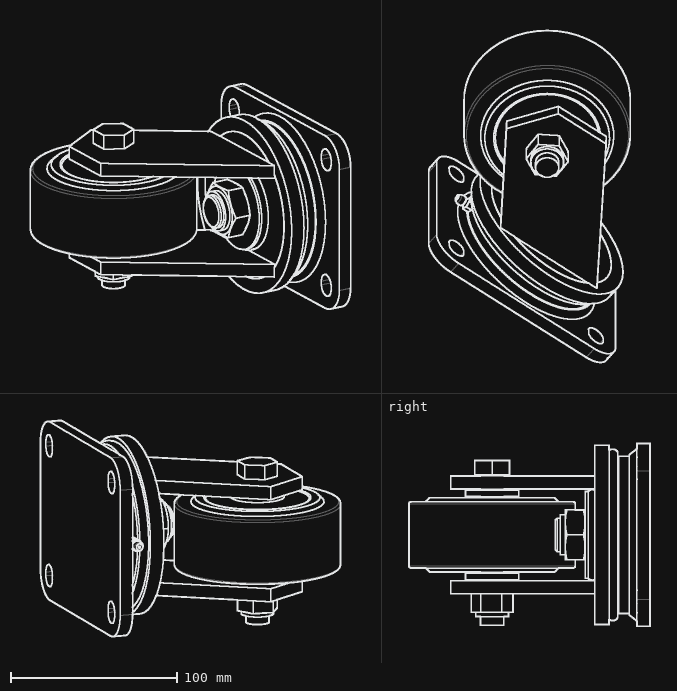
import cadquery as cq
import math


PLATE_LENGTH = 135.0
PLATE_WIDTH = 110.0
PLATE_THICKNESS = 8.0
PLATE_CORNER_RADIUS = 16.4
SLOT_SPACING_X = 105.0
SLOT_SPACING_Z = 80.0
SLOT_WIDTH = 11.0
SLOT_LENGTH = 13.4

HEAD_TOP_RADIUS = 51.8
HEAD_CONE_END_RADIUS = 48.2
NECK_RADIUS = 47.4
CONE_END_DROP = 12.5
NECK_END_DROP = 19.0

KINGPIN_RADIUS = 10.0
KINGPIN_CHAMFER = 1.0
KINGPIN_END_DROP = 57.0
KINGPIN_NUT_FLATS = 30.0
KINGPIN_NUT_HEIGHT = 12.0
KINGPIN_NUT_CHAMFER_RADIUS = 14.7
KINGPIN_NUT_CHAMFER_HEIGHT = 1.0
KINGPIN_COLLAR_RADIUS = 12.0
KINGPIN_COLLAR_HEIGHT = 3.0

NIPPLE_DROP = 16.0
NIPPLE_HEX_FLATS = 6.7
NIPPLE_HEX_END = 51.3
NIPPLE_NECK_BASE_RADIUS = 3.2
NIPPLE_NECK_RADIUS = 2.0
NIPPLE_BALL_RADIUS = 3.2
NIPPLE_BALL_EDGE_RADIUS = 2.7
NIPPLE_BALL_START = 53.1
NIPPLE_BALL_END = 56.8
NIPPLE_TIP_RADIUS = 2.0
NIPPLE_TIP_END = 58.1
NIPPLE_PORT_RADIUS = 0.5
NIPPLE_PORT_DEPTH = 1.0

SEAL_DROP = 19.5
SEAL_TOP_RADIUS = 49.7
SEAL_MIDDLE_RADIUS = 51.6
SEAL_BOTTOM_RADIUS = 51.0
CROWN_DROP = 24.6
CROWN_RADIUS = 54.0
CROWN_BOTTOM_DROP = 33.3
CROWN_RECESS_RADIUS = 45.0
CROWN_RECESS_DEPTH = 0.2
WASHER_TOP_RADIUS = 27.0
WASHER_BULGE_RADIUS = 27.3
WASHER_BULGE_DROP = 34.8
WASHER_LIP_RADIUS = 26.1
WASHER_LIP_DROP = 37.4
WASHER_BOTTOM_DROP = 39.0

WHEEL_RADIUS = 50.0
TREAD_HALF_WIDTH = 20.0
TREAD_EDGE_RADIUS = 1.3
HUB_RADIUS = 40.0
HUB_HALF_WIDTH = 22.5
HUB_RECESS_RADIUS = 32.2
HUB_RECESS_SLOPE_WIDTH = 1.0
HUB_RECESS_DEPTH = 0.5

AXLE_X = -49.9
AXLE_DROP = 95.0

LEG_INNER_Z = 27.5
LEG_THICKNESS = 8.0
LEG_OUTER_Z = LEG_INNER_Z + LEG_THICKNESS
LEG_TOP_FRONT_X = 34.3
LEG_TOP_REAR_X = -38.2
LEG_BOTTOM_FRONT_X = -24.3
LEG_BOTTOM_REAR_X = -60.3
LEG_REAR_X = -78.7
LEG_REAR_DROP = 92.6
LEG_BOTTOM_DROP = 120.0

AXLE_RADIUS = 7.0
SPACER_RADIUS = 16.0
SPACER_CLEARANCE = 0.5
BOLT_HEAD_FLATS = 21.1
BOLT_HEAD_HEIGHT = 8.7
BOLT_HEAD_CLEARANCE = 0.5
AXLE_NUT_FLATS = 22.0
AXLE_NUT_HEIGHT = 11.0
AXLE_NUT_TURN = 87.5
AXLE_COLLAR_RADIUS = 9.9
AXLE_COLLAR_HEIGHT = 2.5
AXLE_END_Z = -54.5


def corner_diameter(flats):
    """Diameter across the corners of a hexagon of the given width across flats."""
    return flats / math.cos(math.pi / 6)


def below_plate(drop):
    """Plane parallel to the plate whose extrusions run towards -Y."""
    return cq.Workplane("XZ", origin=(0, -drop, 0))


def along_axle(z):
    """Plane across the axle, centred on it, whose extrusions run towards +Z."""
    return cq.Workplane("XY", origin=(AXLE_X, -AXLE_DROP, z))


def kingpin_nut():
    """Lock nut: a hexagon with chamfered corners, followed by a round collar."""
    corner_radius = corner_diameter(KINGPIN_NUT_FLATS) / 2
    chamfer_end_drop = WASHER_BOTTOM_DROP + KINGPIN_NUT_CHAMFER_HEIGHT
    nut_end_drop = WASHER_BOTTOM_DROP + KINGPIN_NUT_HEIGHT
    hexagon = (
        below_plate(WASHER_BOTTOM_DROP)
        .polygon(6, 2 * corner_radius)
        .extrude(KINGPIN_NUT_HEIGHT)
    )
    chamfer_envelope = (
        cq.Workplane("XY")
        .polyline([
            (0, -WASHER_BOTTOM_DROP),
            (KINGPIN_NUT_CHAMFER_RADIUS, -WASHER_BOTTOM_DROP),
            (corner_radius, -chamfer_end_drop),
            (corner_radius, -nut_end_drop + KINGPIN_NUT_CHAMFER_HEIGHT),
            (KINGPIN_NUT_CHAMFER_RADIUS, -nut_end_drop),
            (0, -nut_end_drop),
        ])
        .close()
        .revolve(360, (0, 0, 0), (0, 1, 0))
    )
    collar = below_plate(nut_end_drop).circle(KINGPIN_COLLAR_RADIUS).extrude(KINGPIN_COLLAR_HEIGHT)
    return hexagon.intersect(chamfer_envelope).union(collar)


def grease_nipple():
    """Hexagon seated in the neck, then a narrow waist and a ball-shaped tip with a grease port."""
    hex_start = NECK_RADIUS - NIPPLE_HEX_FLATS / 2
    hexagon = (
        cq.Workplane("YZ", origin=(-NIPPLE_HEX_END, -NIPPLE_DROP, 0))
        .transformed(rotate=(0, 0, 90))
        .polygon(6, corner_diameter(NIPPLE_HEX_FLATS))
        .extrude(NIPPLE_HEX_END - hex_start)
    )
    port_end = NIPPLE_TIP_END - NIPPLE_PORT_DEPTH
    ball_middle = (NIPPLE_BALL_START + NIPPLE_BALL_END) / 2
    tip = (
        cq.Workplane("XY", origin=(0, -NIPPLE_DROP, 0))
        .moveTo(-NIPPLE_HEX_END, 0)
        .lineTo(-NIPPLE_HEX_END, NIPPLE_NECK_BASE_RADIUS)
        .lineTo(-NIPPLE_BALL_START, NIPPLE_NECK_RADIUS)
        .lineTo(-NIPPLE_BALL_START, NIPPLE_BALL_EDGE_RADIUS)
        .threePointArc((-ball_middle, NIPPLE_BALL_RADIUS), (-NIPPLE_BALL_END, NIPPLE_BALL_EDGE_RADIUS))
        .lineTo(-NIPPLE_TIP_END, NIPPLE_TIP_RADIUS)
        .lineTo(-NIPPLE_TIP_END, NIPPLE_PORT_RADIUS)
        .lineTo(-port_end, NIPPLE_PORT_RADIUS)
        .lineTo(-port_end, 0)
        .close()
        .revolve(360, (0, 0, 0), (1, 0, 0))
    )
    return hexagon.union(tip)


def make_mount():
    """Slotted plate with the swivel head, grease nipple, kingpin and kingpin nut."""
    plate = (
        below_plate(0)
        .rect(PLATE_LENGTH, PLATE_WIDTH)
        .extrude(PLATE_THICKNESS)
        .edges("|Y")
        .fillet(PLATE_CORNER_RADIUS)
    )
    slots = (
        below_plate(0)
        .rect(SLOT_SPACING_X, SLOT_SPACING_Z, forConstruction=True)
        .vertices()
        .slot2D(SLOT_LENGTH, SLOT_WIDTH, 90)
        .extrude(PLATE_THICKNESS)
    )
    head = (
        cq.Workplane("XY")
        .polyline([
            (0, -PLATE_THICKNESS),
            (HEAD_TOP_RADIUS, -PLATE_THICKNESS),
            (HEAD_CONE_END_RADIUS, -CONE_END_DROP),
            (NECK_RADIUS, -CONE_END_DROP),
            (NECK_RADIUS, -NECK_END_DROP),
            (0, -NECK_END_DROP),
        ])
        .close()
        .revolve(360, (0, 0, 0), (0, 1, 0))
    )
    kingpin = (
        below_plate(NECK_END_DROP)
        .circle(KINGPIN_RADIUS)
        .extrude(KINGPIN_END_DROP - NECK_END_DROP)
        .faces("<Y")
        .chamfer(KINGPIN_CHAMFER)
    )
    return plate.cut(slots).union(head).union(grease_nipple()).union(kingpin).union(kingpin_nut())


def fork_crown():
    """Seal ring, crown disk and thrust washer, turned as one around the kingpin bore."""
    seal_middle_drop = (SEAL_DROP + CROWN_DROP) / 2
    recess_drop = CROWN_BOTTOM_DROP - CROWN_RECESS_DEPTH
    return (
        cq.Workplane("XY")
        .moveTo(KINGPIN_RADIUS, -SEAL_DROP)
        .lineTo(SEAL_TOP_RADIUS, -SEAL_DROP)
        .threePointArc((SEAL_MIDDLE_RADIUS, -seal_middle_drop), (SEAL_BOTTOM_RADIUS, -CROWN_DROP))
        .lineTo(CROWN_RADIUS, -CROWN_DROP)
        .lineTo(CROWN_RADIUS, -CROWN_BOTTOM_DROP)
        .lineTo(CROWN_RECESS_RADIUS, -CROWN_BOTTOM_DROP)
        .lineTo(CROWN_RECESS_RADIUS, -recess_drop)
        .lineTo(WASHER_TOP_RADIUS, -recess_drop)
        .threePointArc(
            (WASHER_BULGE_RADIUS, -WASHER_BULGE_DROP), (WASHER_LIP_RADIUS, -WASHER_LIP_DROP)
        )
        .lineTo(WASHER_LIP_RADIUS, -WASHER_BOTTOM_DROP)
        .lineTo(KINGPIN_RADIUS, -WASHER_BOTTOM_DROP)
        .close()
        .revolve(360, (0, 0, 0), (0, 1, 0))
    )


def fork_leg(bottom_z):
    """Slanted leg plate running from the crown down past the axle."""
    top_drop = CROWN_BOTTOM_DROP - CROWN_RECESS_DEPTH
    return (
        cq.Workplane("XY", origin=(0, 0, bottom_z))
        .polyline([
            (LEG_TOP_REAR_X, -top_drop),
            (LEG_TOP_FRONT_X, -top_drop),
            (LEG_BOTTOM_FRONT_X, -LEG_BOTTOM_DROP),
            (LEG_BOTTOM_REAR_X, -LEG_BOTTOM_DROP),
            (LEG_REAR_X, -LEG_REAR_DROP),
        ])
        .close()
        .extrude(LEG_THICKNESS)
    )


def axle_bolt():
    """Bolt with its head above the upper leg and a lock nut below the lower leg."""
    nut_end_z = -LEG_OUTER_Z - AXLE_NUT_HEIGHT
    head_bottom_z = LEG_OUTER_Z + BOLT_HEAD_CLEARANCE
    shank = along_axle(AXLE_END_Z).circle(AXLE_RADIUS).extrude(head_bottom_z - AXLE_END_Z)
    head = along_axle(head_bottom_z).polygon(6, corner_diameter(BOLT_HEAD_FLATS)).extrude(BOLT_HEAD_HEIGHT)
    nut = (
        along_axle(nut_end_z)
        .transformed(rotate=(0, 0, AXLE_NUT_TURN))
        .polygon(6, corner_diameter(AXLE_NUT_FLATS))
        .extrude(AXLE_NUT_HEIGHT)
    )
    collar = along_axle(nut_end_z).circle(AXLE_COLLAR_RADIUS).extrude(-AXLE_COLLAR_HEIGHT)
    return shank.union(head).union(nut).union(collar)


def make_fork():
    """Crown and both legs, joined by the axle bolt, which carries a spacer collar beside each leg."""
    spacer_inner_z = HUB_HALF_WIDTH + SPACER_CLEARANCE
    spacer_outer_z = LEG_INNER_Z - SPACER_CLEARANCE
    spacer_length = spacer_outer_z - spacer_inner_z
    fork = fork_crown()
    for leg_bottom_z in (LEG_INNER_Z, -LEG_OUTER_Z):
        fork = fork.union(fork_leg(leg_bottom_z))
    for spacer_bottom_z in (spacer_inner_z, -spacer_outer_z):
        fork = fork.union(along_axle(spacer_bottom_z).circle(SPACER_RADIUS).extrude(spacer_length))
    return fork.union(axle_bolt())


def make_wheel():
    """Tread with rounded edges on a wider hub that has a bevelled rim and a shallow recess per side."""
    hub_bevel = HUB_HALF_WIDTH - TREAD_HALF_WIDTH
    tread = (
        along_axle(-TREAD_HALF_WIDTH)
        .circle(WHEEL_RADIUS)
        .extrude(2 * TREAD_HALF_WIDTH)
        .edges()
        .fillet(TREAD_EDGE_RADIUS)
    )
    half_hub = (
        cq.Workplane("XZ")
        .polyline([
            (AXLE_RADIUS, 0),
            (HUB_RADIUS, 0),
            (HUB_RADIUS, TREAD_HALF_WIDTH),
            (HUB_RADIUS - hub_bevel, HUB_HALF_WIDTH),
            (HUB_RECESS_RADIUS, HUB_HALF_WIDTH),
            (HUB_RECESS_RADIUS - HUB_RECESS_SLOPE_WIDTH, HUB_HALF_WIDTH - HUB_RECESS_DEPTH),
            (AXLE_RADIUS, HUB_HALF_WIDTH - HUB_RECESS_DEPTH),
        ])
        .close()
        .revolve(360, (0, 0, 0), (0, 1, 0))
    )
    hub = half_hub.union(half_hub.mirror("XY")).translate((AXLE_X, -AXLE_DROP, 0))
    tread_bore = along_axle(-TREAD_HALF_WIDTH).circle(HUB_RADIUS).extrude(2 * TREAD_HALF_WIDTH)
    return tread.cut(tread_bore).union(hub)


mount = make_mount()
fork = make_fork()
wheel = make_wheel()

result = cq.Compound.makeCompound([mount.val(), fork.val(), wheel.val()])